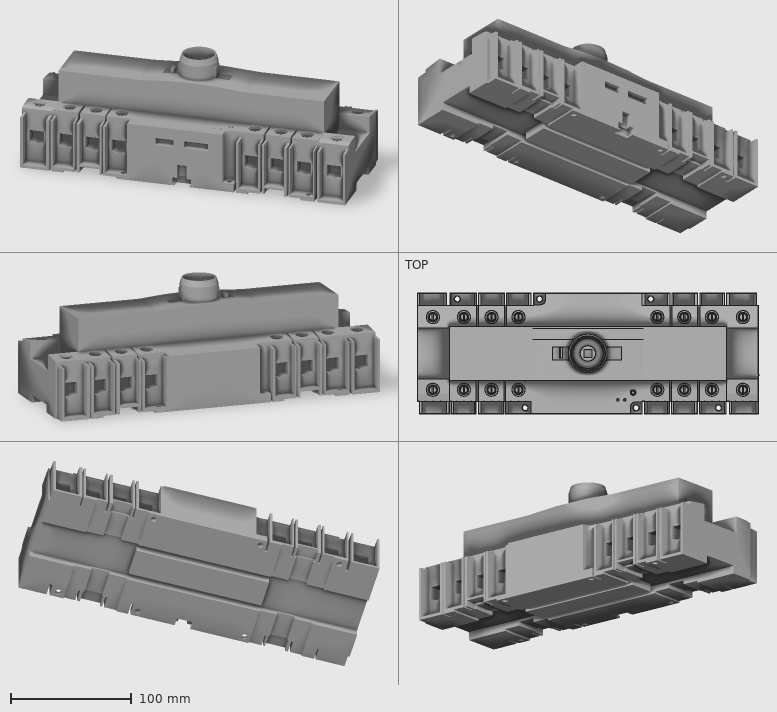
import cadquery as cq

BODY_LENGTH = 282.4
BODY_WIDTH = 100.0
TOTAL_HEIGHT = 99.24
HALF_LENGTH = BODY_LENGTH / 2
HALF_WIDTH = BODY_WIDTH / 2
TOTAL_LENGTH = 283.0

BASE_TOP = 50.7
BASE_REAR_TOP = 47.6
TERMINAL_FACE_Y = 39.8
CENTRE_HALF_LENGTH = 47.2
MIDDLE_BLOCK_END = 44.9

HOUSING_HALF_LENGTH = 114.7
HOUSING_HALF_WIDTH = 22.4
HOUSING_TOP = 79.0
COVER_TOP = 81.5
SLIDER_FLOOR = 79.6

TROUGH_HALF_WIDTH = 21.1
TROUGH_FLOOR = 36.3

LOW_FLOOR = 2.4
MID_FLOOR = 4.0
HIGH_FLOOR = 8.4
BARRIER_TOP = 46.0
BARRIER_OUTER_TOP = 45.2
BAYS = [
    (-139.6, -114.7, -137.4, -117.3, LOW_FLOOR),
    (-113.3, -92.7, -111.4, -94.1, MID_FLOOR),
    (-90.8, -69.5, -88.4, -71.1, HIGH_FLOOR),
    (-68.1, -47.2, -66.1, -47.2, MID_FLOOR),
    (47.0, 67.5, 49.0, 66.1, MID_FLOOR),
    (69.2, 90.7, 71.1, 88.4, HIGH_FLOOR),
    (92.4, 114.4, 93.8, 113.3, MID_FLOOR),
    (117.1, HALF_LENGTH, 119.0, 139.3, LOW_FLOOR),
]
GROOVE_SPANS = [(-92.7, -90.8), (-69.5, -68.1), (67.5, 69.2), (90.7, 92.4)]
GROOVE_DEPTH = 8.0

SCREW_XS = [57.5, 79.8, 102.7, 128.4]
SCREW_Y = 30.1
SCREW_SEAT_RADIUS = 5.4
SCREW_SEAT_DEPTH = 1.0
SCREW_HOLE_RADIUS = 3.9
SCREW_HOLE_DEPTH = 4.0
SCREW_HEAD_RADIUS = 3.0
SCREW_HEAD_DROP = 2.0
SCREW_SLOT_WIDTH = 1.0
SCREW_SLOT_DEPTH = 1.5
ENTRY_WIDTH = 12.4
ENTRY_TOP = 30.2
ENTRY_SIDE_BOTTOM = 19.6
ENTRY_TIP = 17.7
ENTRY_DEPTH = 10.0

MOUNT_HOLE_RADIUS = 2.4
MOUNT_HOLE_Y = -45.1
MOUNT_HOLE_XS = [-52.0, 40.0, 108.2]
POCKET_LEFT = 35.2
POCKET_BACK_Y = -40.3
POCKET_FLOOR = 7.5
POCKET_RADIUS = 4.3

RAIL_HALF_WIDTH = 17.5
RAIL_DEPTH = 6.9
FOOT_HALF_WIDTH = 11.7
UNDERCUT_INNER = 57.0
UNDERCUT_OUTER = 102.6
UNDERCUT_HEIGHT = 1.6
NOTCH_INNER = 72.1
NOTCH_OUTER = 87.4
NOTCH_HEIGHT = 5.0
NOTCH_MOUTH_INNER = 71.1
NOTCH_MOUTH_OUTER = 88.4
NOTCH_MOUTH_HEIGHT = 6.7

KNOB_RADIUS = 16.0
KNOB_TOP_RADIUS = 14.5
KNOB_SHOULDER = 94.2
KNOB_BORE_RADIUS = 13.6
KNOB_FLOOR = 83.0
KNOB_FLOOR_RADIUS = 12.5

OVERCUT = 1.0


def box(x0, x1, y0, y1, z0, z1):
    return cq.Workplane("XY").box(x1 - x0, y1 - y0, z1 - z0, centered=False).translate((x0, y0, z0))


def post(x, y, z0, z1, radius):
    return cq.Workplane("XY").circle(radius).extrude(z1 - z0).translate((x, y, z0))


def half_turn(solid):
    return solid.rotate((0, 0, 0), (0, 0, 1), 180)


def with_half_turn(solid):
    return solid.union(half_turn(solid))


def both_ends(solid):
    return solid.union(solid.mirror("YZ"))


def along_x(points, x0, x1):
    """Extrude a (y, z) outline from x0 to x1."""
    return cq.Workplane("YZ").polyline(points).close().extrude(x1 - x0).translate((x0, 0, 0))


def along_y(points, y0, y1):
    """Extrude an (x, z) outline from y0 to y1."""
    return cq.Workplane("XZ").polyline(points).close().extrude(y0 - y1).translate((0, y0, 0))


def terminal_bay(left, right, inner_left, inner_right, floor):
    outline = [(-TERMINAL_FACE_Y, 0), (-TERMINAL_FACE_Y, BARRIER_TOP), (-HALF_WIDTH, BARRIER_OUTER_TOP),
               (-HALF_WIDTH, 0)]
    bay = along_x(outline, left, right)
    cavity = box(inner_left, inner_right, -HALF_WIDTH - OVERCUT, -TERMINAL_FACE_Y, floor, TOTAL_HEIGHT)
    return bay.cut(cavity)


def mounting_pocket():
    pocket = box(POCKET_LEFT, CENTRE_HALF_LENGTH, -HALF_WIDTH - POCKET_RADIUS, POCKET_BACK_Y,
                 POCKET_FLOOR, TOTAL_HEIGHT)
    return pocket.edges("|Z and <X and >Y").fillet(POCKET_RADIUS)


def base_body():
    body = box(-HALF_LENGTH, HALF_LENGTH, -TERMINAL_FACE_Y, TERMINAL_FACE_Y, 0, BASE_TOP)
    middle = box(-CENTRE_HALF_LENGTH, MIDDLE_BLOCK_END, -HALF_WIDTH, 0, 0, BASE_TOP)
    body = body.union(with_half_turn(middle))
    body = body.cut(with_half_turn(mounting_pocket()))
    for bay in BAYS:
        body = body.union(with_half_turn(terminal_bay(*bay)))
    return body


def rear_deck_slope():
    return along_x([(HOUSING_HALF_WIDTH, BASE_TOP), (HALF_WIDTH, BASE_REAR_TOP), (HALF_WIDTH, TOTAL_HEIGHT),
                    (HOUSING_HALF_WIDTH, TOTAL_HEIGHT)], -HALF_LENGTH, HALF_LENGTH)


def rear_middle_step():
    """Lower the last strip of the rear middle block to the height of the barriers."""
    return box(MIDDLE_BLOCK_END, CENTRE_HALF_LENGTH, TERMINAL_FACE_Y, HALF_WIDTH, BARRIER_TOP, TOTAL_HEIGHT)


def end_front_slope():
    break_y = -33.7
    break_z = 50.4
    face_z = 49.3
    outline = [(-TROUGH_HALF_WIDTH, BASE_TOP), (break_y, break_z), (-TERMINAL_FACE_Y, face_z),
               (-TERMINAL_FACE_Y, TOTAL_HEIGHT), (-TROUGH_HALF_WIDTH, TOTAL_HEIGHT)]
    return along_x(outline, HOUSING_HALF_LENGTH, HALF_LENGTH)


def end_trough():
    return box(HOUSING_HALF_LENGTH, HALF_LENGTH, -TROUGH_HALF_WIDTH, TROUGH_HALF_WIDTH,
               TROUGH_FLOOR, TOTAL_HEIGHT)


def deck_groove(left, right):
    return box(left, right, -TERMINAL_FACE_Y, -HOUSING_HALF_WIDTH, BASE_TOP - GROOVE_DEPTH, BASE_TOP)


def underside_cuts():
    rail = box(-HALF_LENGTH, HALF_LENGTH, -RAIL_HALF_WIDTH, RAIL_HALF_WIDTH, 0, RAIL_DEPTH)
    foot = box(-UNDERCUT_INNER, UNDERCUT_INNER, -FOOT_HALF_WIDTH, FOOT_HALF_WIDTH, 0, RAIL_DEPTH)
    undercut = box(UNDERCUT_INNER, UNDERCUT_OUTER, -HALF_WIDTH, HALF_WIDTH, 0, UNDERCUT_HEIGHT)
    notch = box(NOTCH_INNER, NOTCH_OUTER, -HALF_WIDTH, HALF_WIDTH, 0, NOTCH_HEIGHT)
    mouth = box(NOTCH_MOUTH_INNER, NOTCH_MOUTH_OUTER, -HALF_WIDTH, -TERMINAL_FACE_Y, 0, NOTCH_MOUTH_HEIGHT)
    side = undercut.union(notch).union(mouth).union(mouth.mirror("XZ"))
    return rail.cut(foot).union(both_ends(side))


def front_slot(x0, x1, z0, z1, depth):
    return box(x0, x1, -HALF_WIDTH, -HALF_WIDTH + depth, z0, z1)


def front_windows():
    window_bottom = 34.5
    window_top = 40.7
    window_depth = 6.0
    short_window = front_slot(-22.8, -7.0, window_bottom, window_top, window_depth)
    long_window = front_slot(1.8, 22.8, window_bottom, window_top, window_depth)
    return short_window.union(long_window)


def rail_clip_slot():
    stem_half_width = 4.0
    stem_top = 18.8
    stem_depth = 5.0
    head_half_width = 8.2
    head_top = 7.0
    head_depth = 7.0
    mouth_half_width = 6.7
    mouth_top = 1.6
    stem = front_slot(-stem_half_width, stem_half_width, head_top, stem_top, stem_depth)
    head = front_slot(-head_half_width, head_half_width, mouth_top, head_top, head_depth)
    mouth = front_slot(-mouth_half_width, mouth_half_width, 0, mouth_top, head_depth)
    return stem.union(head).union(mouth)


def wire_entry(x):
    half = ENTRY_WIDTH / 2
    outline = [(x - half, ENTRY_TOP), (x + half, ENTRY_TOP), (x + half, ENTRY_SIDE_BOTTOM),
               (x, ENTRY_TIP), (x - half, ENTRY_SIDE_BOTTOM)]
    return along_y(outline, -TERMINAL_FACE_Y, -TERMINAL_FACE_Y + ENTRY_DEPTH)


def screw_recess(x, y, deck):
    hole_floor = deck - SCREW_HOLE_DEPTH
    head_top = deck - SCREW_HEAD_DROP
    seat = post(x, y, deck - SCREW_SEAT_DEPTH, BASE_TOP + OVERCUT, SCREW_SEAT_RADIUS)
    hole = post(x, y, hole_floor, deck, SCREW_HOLE_RADIUS)
    head = post(x, y, hole_floor, head_top, SCREW_HEAD_RADIUS)
    half_slot = SCREW_SLOT_WIDTH / 2
    slot = box(x - half_slot, x + half_slot, y - SCREW_HEAD_RADIUS, y + SCREW_HEAD_RADIUS,
               head_top - SCREW_SLOT_DEPTH, head_top)
    return seat.union(hole.cut(head.cut(slot)))


def build_base():
    base = base_body()
    base = base.cut(rear_deck_slope())
    base = base.cut(rear_middle_step())
    base = base.cut(both_ends(end_front_slope()))
    base = base.cut(both_ends(end_trough()))
    base = base.cut(underside_cuts())
    base = base.cut(front_windows())
    base = base.cut(rail_clip_slot())
    for left, right in GROOVE_SPANS:
        base = base.cut(with_half_turn(deck_groove(left, right)))
    for x in MOUNT_HOLE_XS:
        hole = post(x, MOUNT_HOLE_Y, 0, POCKET_FLOOR + OVERCUT, MOUNT_HOLE_RADIUS)
        base = base.cut(with_half_turn(hole))
    slope = (BASE_TOP - BASE_REAR_TOP) / (HALF_WIDTH - HOUSING_HALF_WIDTH)
    rear_deck = BASE_TOP - slope * (SCREW_Y - HOUSING_HALF_WIDTH)
    for x in SCREW_XS:
        base = base.cut(both_ends(wire_entry(x)))
        base = base.cut(half_turn(both_ends(wire_entry(x))))
        base = base.cut(both_ends(screw_recess(x, -SCREW_Y, BASE_TOP)))
        base = base.cut(both_ends(screw_recess(x, SCREW_Y, rear_deck)))
    return base


def indicator_groove():
    """Ring around the small round indicator on the front deck."""
    x = 37.4
    y = -32.4
    outer_radius = 2.3
    inner_radius = 1.3
    floor = BASE_TOP - 2.0
    return post(x, y, floor, BASE_TOP, outer_radius).cut(post(x, y, floor, BASE_TOP, inner_radius))


def signal_holes():
    radius = 1.0
    depth = 2.0
    left_x = 24.9
    right_x = 30.6
    y = -38.5
    left = post(left_x, y, BASE_TOP - depth, BASE_TOP, radius)
    right = post(right_x, y, BASE_TOP - depth, BASE_TOP, radius)
    return left.union(right)


def side_nub():
    """Small stub on the right-hand end, at the edge of the rail channel."""
    length = TOTAL_LENGTH - BODY_LENGTH
    size = 0.8
    bottom = 6.0
    return box(HALF_LENGTH, HALF_LENGTH + length, -RAIL_HALF_WIDTH - size, -RAIL_HALF_WIDTH,
               bottom, bottom + size)


def end_face_recesses():
    depth = 2.0
    inner = 9.6
    outer = 14.3
    centre_half_width = 2.4
    pin_inner = 4.0
    pin_outer = 5.7
    pin_bottom = 46.8
    centre_top = 53.3
    upper_bottom = 56.3
    upper_top = 62.5
    lower_top = 40.0
    x0 = -HOUSING_HALF_LENGTH
    x1 = x0 + depth
    row_bottom = 45.3
    row_top = 49.1
    cuts = box(x0, x1, -centre_half_width, centre_half_width, row_bottom, centre_top)
    side_pockets = [
        box(x0, x1, inner, outer, upper_bottom, upper_top),
        box(x0, x1, inner, outer, row_bottom, row_top),
        box(x0, x1, inner, outer, TROUGH_FLOOR, lower_top),
        box(x0, x1, pin_inner, pin_outer, pin_bottom, row_top),
    ]
    for pocket in side_pockets:
        cuts = cuts.union(pocket).union(pocket.mirror("XZ"))
    return cuts


def arched_strip(half_length, y0, y1, drop):
    """Shallow arch above the housing top, its crown lowered by drop."""
    arch = cq.Workplane("XZ").moveTo(-half_length, HOUSING_TOP)
    arch = arch.threePointArc((0, COVER_TOP - drop), (half_length, HOUSING_TOP)).close()
    return arch.extrude(y0 - y1).translate((0, y0, 0))


def build_cover():
    panel_half_length = 44.8
    band_half_length = 45.6
    band_front = 11.4
    band_rear = 20.7
    band_drop = 0.2
    edge_drop = 0.5
    panel = arched_strip(panel_half_length, -HOUSING_HALF_WIDTH, band_front, 0)
    band = arched_strip(band_half_length, band_front, band_rear, band_drop)
    edge = arched_strip(band_half_length, band_rear, HOUSING_HALF_WIDTH, edge_drop)
    return panel.union(band).union(edge)


def slider_pocket():
    left = -29.5
    right = 27.8
    half_width = 5.4
    return box(left, right, -half_width, half_width, SLIDER_FLOOR, COVER_TOP)


def slider_tab():
    left = -23.6
    step = -22.5
    right = -21.0
    front = -3.6
    rear = 5.1
    tall_top = 84.1
    short_top = 83.2
    tall = box(left, step, front, rear, SLIDER_FLOOR, tall_top)
    short = box(step, right, front, rear, SLIDER_FLOOR, short_top)
    return tall.union(short)


def build_housing():
    body = box(-HOUSING_HALF_LENGTH, HOUSING_HALF_LENGTH, -HOUSING_HALF_WIDTH, HOUSING_HALF_WIDTH,
               TROUGH_FLOOR, HOUSING_TOP)
    return body.union(build_cover()).cut(slider_pocket()).union(slider_tab())


def knob_boss():
    radius = 6.4
    socket_half = 3.3
    top = 90.5
    socket_floor = 86.5
    boss = post(0, 0, KNOB_FLOOR, top, radius)
    return boss.cut(box(-socket_half, socket_half, -socket_half, socket_half, socket_floor, top))


def build_knob():
    pad_half_width = 5.75
    pad_top = 90.3
    profile = [(KNOB_RADIUS, SLIDER_FLOOR), (KNOB_RADIUS, KNOB_SHOULDER), (KNOB_TOP_RADIUS, TOTAL_HEIGHT),
               (KNOB_BORE_RADIUS, TOTAL_HEIGHT), (KNOB_FLOOR_RADIUS, KNOB_FLOOR), (0, KNOB_FLOOR),
               (0, SLIDER_FLOOR)]
    knob = cq.Workplane("XZ").polyline(profile).close().revolve(360, (0, 0, 0), (0, 1, 0))
    pad_root = (KNOB_BORE_RADIUS + KNOB_TOP_RADIUS) / 2
    pad = box(pad_root, KNOB_RADIUS, -pad_half_width, pad_half_width, SLIDER_FLOOR, pad_top)
    return knob.union(both_ends(pad)).union(knob_boss())


result = build_base().cut(indicator_groove()).cut(signal_holes()).union(build_housing())
result = result.cut(end_face_recesses())
result = result.union(build_knob()).union(side_nub())